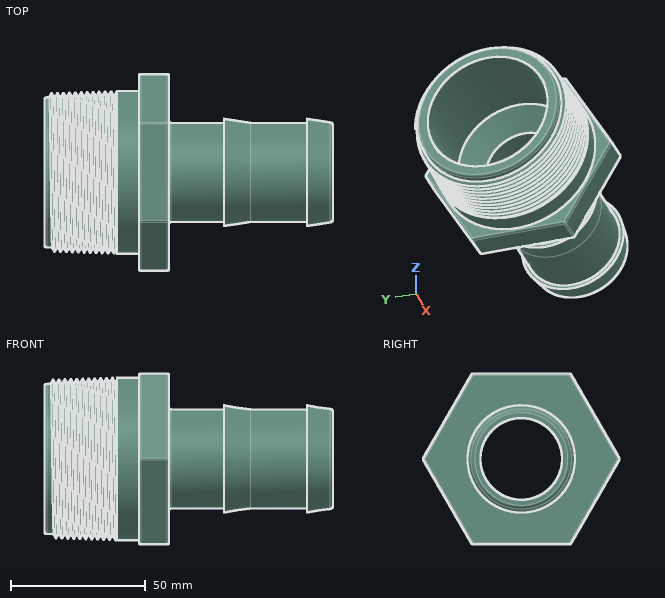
import cadquery as cq
import math


length = 107.2
collar_start = 26.9
hex_start = 35.0
hex_width = 11.3
hex_end = hex_start + hex_width

collar_diameter = 60.5
hose_diameter = 36.9
barb_diameter = 39.9
hex_across_flats = 63.5

barb_length = 9.8
barb_starts = (66.7, length - barb_length)

wide_bore_diameter = 47.0
narrow_bore_diameter = 30.2
bore_cone_length = 7.0

root_radius = 27.9
taper = 1 / 32
ridge_width = 1.7
ridge_height = ridge_width * math.cos(math.radians(30))
ridge_sink = 0.2
thread_start = 2.7
thread_length = 25.0
thread_turns = 11.3
pitch = thread_length / thread_turns

mouth_radius = 1.0
hex_edge_radius = 0.8
hose_root_radius = 0.6
tail_radius = 1.4


def root_radius_at(x):
    """Radius of the tapered thread core at position x."""
    return root_radius + taper * x


def cylinder(diameter, start, end):
    """Round bar along X between two positions."""
    return cq.Workplane("YZ").workplane(offset=start).circle(diameter / 2).extrude(end - start)


def revolve_profile(points):
    """Turn a closed (x, radius) outline about the X axis."""
    return cq.Workplane("XY").polyline(points).close().revolve(360, (0, 0, 0), (1, 0, 0))


def make_thread_core():
    """Tapered core under the thread, rounded at its mouth."""
    core = revolve_profile([
        (0, 0),
        (0, root_radius_at(0)),
        (collar_start, root_radius_at(collar_start)),
        (collar_start, 0),
    ])
    return core.faces("<X").edges().fillet(mouth_radius)


def make_thread_ridge():
    """Right-hand V ridge wound on the core, starting on the +Y side and ending inside the collar."""
    start_radius = root_radius_at(thread_start)
    taper_angle = math.degrees(math.atan(taper))
    path = cq.Wire.makeHelix(pitch, thread_length, start_radius, angle=taper_angle)
    half_base = ridge_width / 2 * (1 + ridge_sink / ridge_height)
    ridge = (
        cq.Workplane("XZ")
        .polyline([
            (start_radius - ridge_sink, -half_base),
            (start_radius + ridge_height, 0),
            (start_radius - ridge_sink, half_base),
        ])
        .close()
        .sweep(cq.Workplane(path), isFrenet=True)
    )
    ridge = ridge.rotate((0, 0, 0), (0, 0, 1), 90).rotate((0, 0, 0), (0, 1, 0), 90)
    return ridge.translate((thread_start, 0, 0))


def make_hexagon():
    """Hexagon with two flats facing +Z and -Z, all edges rounded."""
    across_corners = hex_across_flats / math.cos(math.radians(30))
    hexagon = cq.Workplane("YZ").workplane(offset=hex_start).polygon(6, across_corners).extrude(hex_width)
    return hexagon.edges().fillet(hex_edge_radius)


def make_barb(start):
    """Cone that falls from the barb diameter to the hose diameter."""
    return revolve_profile([
        (start, 0),
        (start, barb_diameter / 2),
        (start + barb_length, hose_diameter / 2),
        (start + barb_length, 0),
    ])


def make_bore():
    """Stepped passage through the whole length."""
    return revolve_profile([
        (0, 0),
        (0, wide_bore_diameter / 2),
        (hex_start, wide_bore_diameter / 2),
        (hex_start + bore_cone_length, narrow_bore_diameter / 2),
        (length, narrow_bore_diameter / 2),
        (length, 0),
    ])


tail = make_hexagon().union(cylinder(hose_diameter, hex_end, length))
tail = tail.faces(">X[-2]").edges("%CIRCLE").fillet(hose_root_radius)
for barb_start in barb_starts:
    tail = tail.union(make_barb(barb_start))
tail = tail.faces(">X").edges().fillet(tail_radius)

body = tail.union(cylinder(collar_diameter, collar_start, hex_start))
body = body.union(make_thread_core())
body = body.union(make_thread_ridge())

result = body.cut(make_bore())